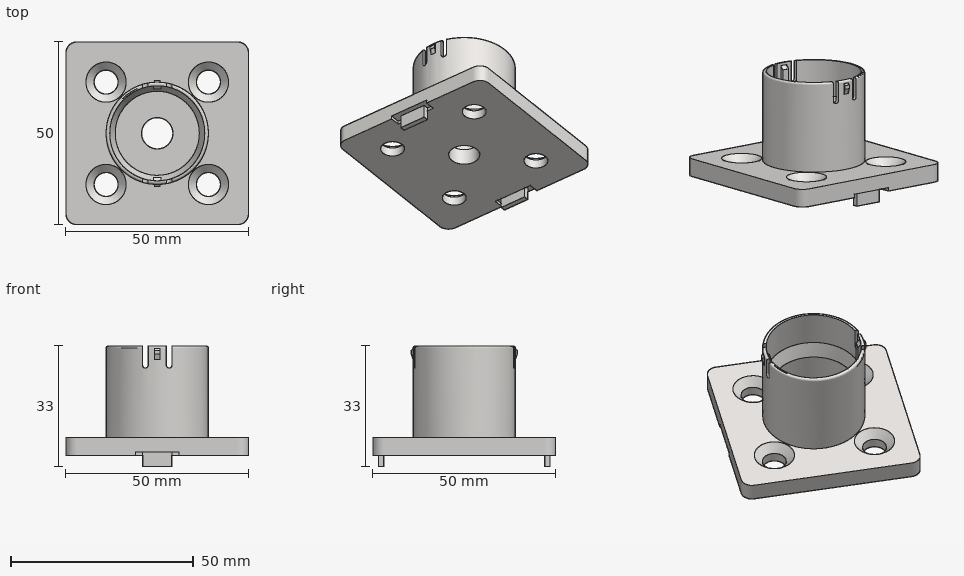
import cadquery as cq

plate_side = 50.0
plate_thickness = 5.0
plate_corner_radius = 3.0

hole_offset = 14.0
hole_diameter = 6.5
countersink_diameter = 11.0
countersink_angle = 90.0

rim_z = 30.0
socket_radius = 14.0
rim_round = 0.6
mouth_radius = 13.0
mouth_depth = 10.0
cone_height = 4.0
bore_radius = 11.5
center_hole_diameter = 8.5

slot_offset = 3.25
slot_width = 1.5
slot_depth = 6.0

catch_width = 1.5
catch_height = 3.0
catch_face_height = 1.0
catch_projection = 0.5
catch_top_z = rim_z - 0.75

rib_width = 2.1
rib_face_y = 12.1
rib_top_z = rim_z - 0.75
rib_slope_drop = 1.05

tab_width = 8.0
tab_thickness = 1.5
tab_projection = 3.0
tab_edge_inset = 1.5
notch_width = 12.0
notch_height = 1.0

wall_middle_radius = (mouth_radius + socket_radius) / 2
cone_top_z = rim_z - mouth_depth
cone_bottom_z = cone_top_z - cone_height
tab_outer_y = plate_side / 2 - tab_edge_inset
tab_inner_y = tab_outer_y - tab_thickness


def box(width, y_start, y_end, z_start, z_end):
    """Box centred on X = 0 between the given Y and Z limits."""
    return cq.Workplane("XY").box(
        width, y_end - y_start, z_end - z_start, centered=(True, False, False)
    ).translate((0, y_start, z_start))


def prism(width, yz_points):
    """Y-Z outline extruded along X, centred on X = 0."""
    return cq.Workplane("YZ").polyline(yz_points).close().extrude(width / 2, both=True)


def on_both_sides(body):
    """The body together with its mirror image across the X-Z plane."""
    return body.union(body.mirror("XZ"))


def make_plate():
    plate = cq.Workplane("XY").box(
        plate_side, plate_side, plate_thickness, centered=(True, True, False)
    )
    return (
        plate.edges("|Z").fillet(plate_corner_radius)
        .faces(">Z").workplane()
        .rect(2 * hole_offset, 2 * hole_offset, forConstruction=True).vertices()
        .cskHole(hole_diameter, countersink_diameter, countersink_angle)
    )


def make_socket():
    """Ring whose wide mouth narrows through a cone to the bore."""
    profile = (
        cq.Workplane("XZ")
        .moveTo(bore_radius, plate_thickness)
        .lineTo(socket_radius, plate_thickness)
        .lineTo(socket_radius, rim_z - rim_round)
        .radiusArc((socket_radius - rim_round, rim_z), -rim_round)
        .lineTo(mouth_radius, rim_z)
        .lineTo(mouth_radius, cone_top_z)
        .lineTo(bore_radius, cone_bottom_z)
        .close()
    )
    return profile.revolve(360, (0, 0, 0), (0, 1, 0))


def make_slot_cutter():
    """Round-ended bar along Y that cuts one slot through both walls."""
    return (
        cq.Workplane("XZ")
        .center(0, rim_z)
        .slot2D(2 * slot_depth, slot_width, angle=90)
        .extrude(plate_side / 2, both=True)
    )


def make_catch():
    """Catch with a 45 degree top, an upright face and a sloped underside, rooted in the wall."""
    face_y = socket_radius + catch_projection
    face_top_z = catch_top_z - catch_projection
    catch_bottom_z = catch_top_z - catch_height
    return prism(catch_width, [
        (wall_middle_radius, catch_bottom_z),
        (socket_radius, catch_bottom_z),
        (face_y, face_top_z - catch_face_height),
        (face_y, face_top_z),
        (socket_radius, catch_top_z),
        (wall_middle_radius, catch_top_z),
    ])


def make_rib():
    """Rib with a sloped top, running down until it is buried in the cone."""
    return prism(rib_width, [
        (rib_face_y, cone_bottom_z),
        (wall_middle_radius, cone_bottom_z),
        (wall_middle_radius, rib_top_z),
        (mouth_radius, rib_top_z),
        (rib_face_y, rib_top_z - rib_slope_drop),
    ])


notch = box(notch_width, tab_inner_y, plate_side / 2, 0, notch_height)
tab = box(tab_width, tab_inner_y, tab_outer_y, -tab_projection, notch_height)

socket = make_socket()
for slot_x in (-slot_offset, slot_offset):
    socket = socket.cut(make_slot_cutter().translate((slot_x, 0, 0)))
socket = socket.union(on_both_sides(make_catch())).union(on_both_sides(make_rib()))

plate = make_plate().faces(">Z").workplane().hole(center_hole_diameter)
plate = plate.cut(on_both_sides(notch)).union(on_both_sides(tab))

result = plate.union(socket)